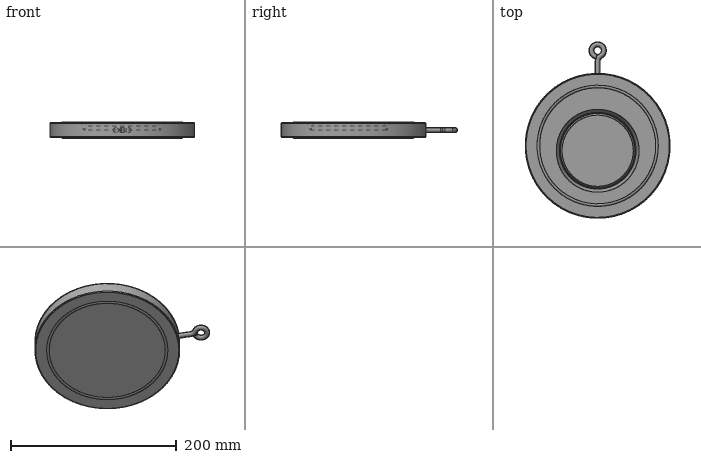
import cadquery as cq
import math

body_diameter = 175.0
total_thickness = 19.8
seal_height = 0.9
body_thickness = total_thickness - 2 * seal_height
body_chamfer = 1.0
body_radius = body_diameter / 2
face_z = body_thickness / 2

seal_mean_diameter = 143.3
seal_chord = 3.2
seal_cord_radius = ((seal_chord / 2) ** 2 + seal_height ** 2) / (2 * seal_height)

recess_offset_y = -6.0
recess_top_diameter = 100
recess_floor_diameter = 92.7
recess_depth = 9.0
recess_floor_z = face_z - recess_depth
plate_diameter = 90.0
plate_top_diameter = 86.0
plate_chamfer_height = 4.0

overall_length = 213
wire_diameter = 6.0
eye_mean_radius = 7.5
eye_end_angle = math.radians(260)
shank_end_y = 102.2
shank_embedment = 6.4
wire_radius = wire_diameter / 2
eye_center_y = overall_length - body_radius - eye_mean_radius - wire_radius


def make_body():
    blank = cq.Workplane("XY", origin=(0, 0, -face_z)).circle(body_radius).extrude(body_thickness)
    return blank.edges().chamfer(body_chamfer)


def make_seal(side):
    """Seal on the upper (side = 1) or lower (side = -1) face."""
    center_z = side * (face_z + seal_height - seal_cord_radius)
    return cq.Workplane(
        cq.Solid.makeTorus(seal_mean_diameter / 2, seal_cord_radius, cq.Vector(0, 0, center_z))
    )


def make_recess():
    """Tapered cutter, narrow at the recess floor and wide at the upper face."""
    return cq.Workplane(
        cq.Solid.makeCone(
            recess_floor_diameter / 2,
            recess_top_diameter / 2,
            recess_depth,
            pnt=cq.Vector(0, recess_offset_y, recess_floor_z),
        )
    )


def make_plate():
    """Plate flush with the upper face, with a steep chamfer around its top."""
    plate_radius = plate_diameter / 2
    half_profile = [
        (0, recess_floor_z),
        (plate_radius, recess_floor_z),
        (plate_radius, face_z - plate_chamfer_height),
        (plate_top_diameter / 2, face_z),
        (0, face_z),
    ]
    section = cq.Workplane("XZ", origin=(0, recess_offset_y, 0)).polyline(half_profile).close()
    return section.revolve(360, (0, 0, 0), (0, 1, 0))


def point_on_circle(center, radius, angle):
    return (center[0] + radius * math.cos(angle), center[1] + radius * math.sin(angle))


def make_lifting_eye():
    """Straight shank, a bend to the right, then an almost closed loop."""
    rise = eye_center_y - shank_end_y
    bend_radius = (rise ** 2 - eye_mean_radius ** 2) / (2 * eye_mean_radius)
    join_angle = math.atan2(-rise, bend_radius)
    bend_end_angle = math.pi + join_angle
    bend_mid_angle = (math.pi + bend_end_angle) / 2

    shank_start_y = body_radius - shank_embedment
    shank_length = shank_end_y - shank_start_y
    shank_plane = cq.Workplane("XZ", origin=(0, shank_start_y, 0))
    shank = shank_plane.circle(wire_radius).extrude(-shank_length)

    bend_mid = point_on_circle((bend_radius, shank_end_y), bend_radius, bend_mid_angle)
    eye_center = (0, eye_center_y)
    loop_start = point_on_circle(eye_center, eye_mean_radius, join_angle)
    loop_mid = point_on_circle(eye_center, eye_mean_radius, (join_angle + eye_end_angle) / 2)
    loop_end = point_on_circle(eye_center, eye_mean_radius, eye_end_angle)

    bend_path = cq.Workplane("XY").moveTo(0, shank_end_y).threePointArc(bend_mid, loop_start)
    bend = cq.Workplane("XZ", origin=(0, shank_end_y, 0)).circle(wire_radius).sweep(bend_path)

    loop_path = cq.Workplane("XY").moveTo(*loop_start).threePointArc(loop_mid, loop_end)
    loop_plane = cq.Plane(
        origin=(*loop_start, 0),
        xDir=(0, 0, 1),
        normal=(-math.sin(join_angle), math.cos(join_angle), 0),
    )
    loop = cq.Workplane(loop_plane).circle(wire_radius).sweep(loop_path)
    return shank.union(bend).union(loop)


result = make_body().cut(make_recess()).union(make_plate())
for face_side in (1, -1):
    result = result.union(make_seal(face_side))
result = result.union(make_lifting_eye())